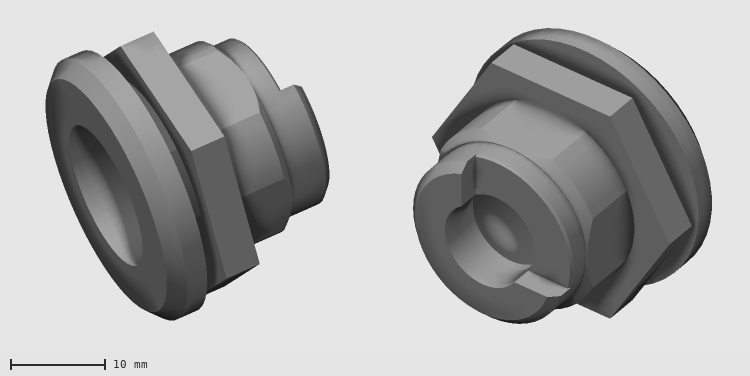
import cadquery as cq


flange_diameter = 30.0
flange_thickness = 4.0
flange_chamfer_width = 1.62
flange_chamfer_length = 1.6

shank_diameter = 22.0
shank_flat_distance = 20.0
shank_end = 17.0
shank_chamfer = (shank_diameter - shank_flat_distance) / 2

collar_diameter = 19.8
total_length = 22.0
collar_chamfer = 1.0
notch_floor = 19.55
notch_offset = 2.8
notch_edge_chamfer = 0.25

front_bore_diameter = 16.15
front_bore_depth = shank_end
rear_bore_diameter = 10.0

nut_across_corners = 31.18
nut_thickness = 4.0
nut_gap = 2.0
nut_start = flange_thickness + nut_gap


def cylinder(diameter, start, end):
    """Solid cylinder on the Y axis between two Y positions."""
    plane = cq.Workplane("XZ", origin=(0, start, 0))
    return plane.circle(diameter / 2).extrude(start - end)


def make_flange():
    flange = cylinder(flange_diameter, 0, flange_thickness)
    return flange.faces("<Y").chamfer(flange_chamfer_length, flange_chamfer_width)


def make_shank():
    shank = cylinder(shank_diameter, flange_thickness, shank_end)
    shank = shank.faces(">Y").chamfer(shank_chamfer)
    square = cq.Workplane("XY").box(shank_flat_distance, 2 * total_length, shank_flat_distance)
    return shank.intersect(square)


def make_notch():
    """Quadrant removed from the collar end, towards -X and +Z."""
    size = collar_diameter
    notch = cq.Workplane("XY").box(size, size, size, centered=False)
    notch = notch.translate((notch_offset - size, shank_end, -notch_offset))
    stub = cylinder(collar_diameter, shank_end, notch_floor)
    stub = stub.faces(">Y").chamfer(notch_edge_chamfer)
    return notch.cut(stub)


def make_collar():
    collar = cylinder(collar_diameter, shank_end, total_length)
    collar = collar.faces(">Y").chamfer(collar_chamfer)
    return collar.cut(make_notch())


def make_housing():
    housing = make_flange().union(make_shank()).union(make_collar())
    housing = housing.cut(cylinder(front_bore_diameter, 0, front_bore_depth))
    return housing.cut(cylinder(rear_bore_diameter, 0, total_length))


def make_nut():
    """Hexagonal nut with corners on the X axis and a round bore fitting the shank."""
    plane = cq.Workplane("XZ", origin=(0, nut_start, 0))
    nut = plane.polygon(6, nut_across_corners).extrude(-nut_thickness)
    return nut.cut(cylinder(shank_diameter, nut_start, nut_start + nut_thickness))


housing = make_housing()
nut = make_nut()

result = cq.Compound.makeCompound([housing.val(), nut.val()])